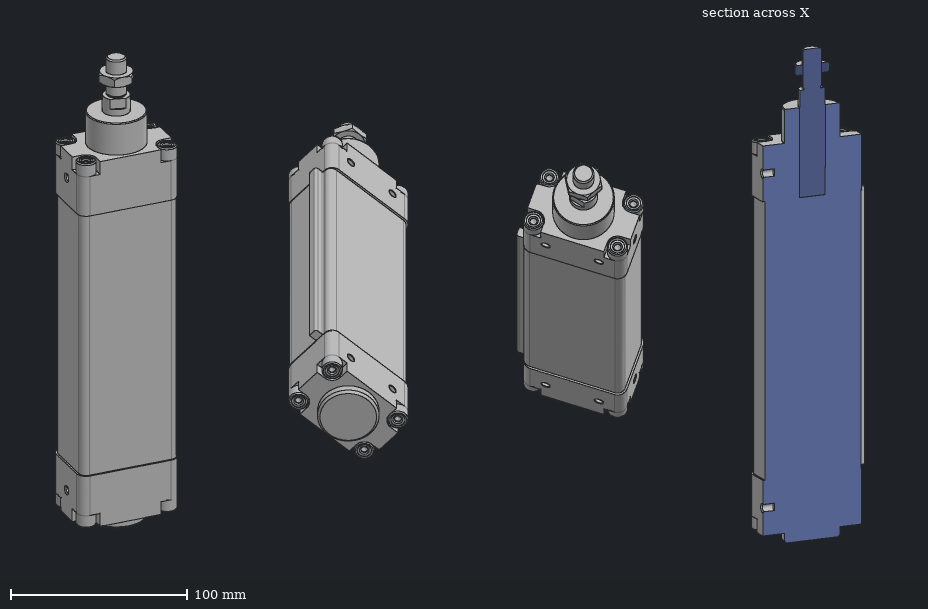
import cadquery as cq
import math

TOTAL_LENGTH = 289.5
REAR_BOSS_HEIGHT = 5.8
CAP_HEIGHT = 33.0
BARREL_LENGTH = 164.0
NECK_HEIGHT = 20.0

REAR_CAP_Z = REAR_BOSS_HEIGHT
BARREL_Z = REAR_CAP_Z + CAP_HEIGHT
FRONT_CAP_Z = BARREL_Z + BARREL_LENGTH
NECK_Z = FRONT_CAP_Z + CAP_HEIGHT
NECK_TOP_Z = NECK_Z + NECK_HEIGHT

CAP_WIDTH = 40.0
CAP_DEPTH = 62.0
CAP_CORNER_RADIUS = 5.8
SCREW_X = CAP_WIDTH / 2 - CAP_CORNER_RADIUS
SCREW_Y = CAP_DEPTH / 2 - CAP_CORNER_RADIUS
CORNERS = [(sx, sy) for sx in (-1, 1) for sy in (-1, 1)]

POCKET_HEIGHT = 8.0
POCKET_CLEARANCE = 0.43
POCKET_RADIUS = CAP_CORNER_RADIUS + POCKET_CLEARANCE

SCREW_HEAD_DIAMETER = 2 * CAP_CORNER_RADIUS
SCREW_HEAD_HEIGHT = 7.8
SCREW_HEAD_CHAMFER = 0.72
RECESS_DIAMETER = 8.0
RECESS_DEPTH = 0.5
SCREW_HOLE_DIAMETER = 4.0
SCREW_HOLE_DEPTH = 1.5

PORT_DIAMETER = 4.0
MOUNTING_HOLE_DIAMETER = 5.0
HOLE_DEPTH = 7.2
MOUNTING_HOLE_Y = 16.0

HOLE_MOUTH_DIAMETER = 5.5
DRILL_POINT_ANGLE = 118.0

BARREL_WIDTH = 37.5
BARREL_FRONT_Y = -29.8
BARREL_BACK_Y = 30.7
BARREL_DEPTH = BARREL_BACK_Y - BARREL_FRONT_Y
BARREL_CORNER_RADIUS = 4.5

RAIL_WIDTH = 5.5
RAIL_CENTER_X = -9.8
RAIL_TOP_Y = 36.2
RAIL_CORNER_RADIUS = 1.7
RAIL_ROOT_RADIUS = 1.0

BOSS_DIAMETER = 35.0
NECK_CHAMFER = 0.5
REAR_BOSS_CHAMFER = 1.5

ROD_DIAMETER = 16.0
THREAD_DIAMETER = 12.0
THREAD_CHAMFER = 1.0
SHOULDER_Z = 265.8
RELIEF_DIAMETER = 10.7
RELIEF_HEIGHT = 1.0
FLAT_HEIGHT = 6.0
FLAT_WIDTH = 13.0
FLAT_ANGLE = -15.0

NUT_WIDTH = 19.0
NUT_HEIGHT = 6.0
NUT_Z = 274.5
NUT_CORNER_DIAMETER = NUT_WIDTH / math.cos(math.pi / 6)
NUT_BEVEL_WIDTH = (NUT_CORNER_DIAMETER - NUT_WIDTH) / 2
NUT_BEVEL_HEIGHT = NUT_BEVEL_WIDTH * math.tan(math.pi / 6)


def cylinder(diameter, height, z):
    """Upright cylinder on the part axis, with its lower face at z."""
    return cq.Workplane("XY").workplane(offset=z).circle(diameter / 2).extrude(height)


def rounded_block(width, depth, height, radius, z):
    """Upright block centred on the part axis, with its four long edges rounded."""
    return (
        cq.Workplane("XY")
        .workplane(offset=z)
        .rect(width, depth)
        .extrude(height)
        .edges("|Z")
        .fillet(radius)
    )


def bore_cutter(diameter, depth, point, direction):
    """Cutter for a flat-bottomed round hole."""
    bore = cq.Solid.makeCylinder(diameter / 2, depth, cq.Vector(*point), cq.Vector(*direction))
    return cq.Workplane(bore)


def drilled_hole(diameter, depth, point, direction):
    """Cutter for a hole of full diameter down to the depth, ending in a drill point."""
    inward = cq.Vector(*direction)
    radius = diameter / 2
    tip_length = radius / math.tan(math.radians(DRILL_POINT_ANGLE / 2))
    tip = cq.Solid.makeCone(radius, 0, tip_length, cq.Vector(*point) + inward * depth, inward)
    return bore_cutter(diameter, depth, point, direction).union(cq.Workplane(tip))


def hole_mouth(diameter, point, direction):
    """Cutter for the 45 degree bevel at the mouth of a hole of the given diameter."""
    depth = (HOLE_MOUTH_DIAMETER - diameter) / 2
    cone = cq.Solid.makeCone(
        HOLE_MOUTH_DIAMETER / 2, diameter / 2, depth, cq.Vector(*point), cq.Vector(*direction)
    )
    return cq.Workplane(cone)


def corner_pocket(sx, sy):
    """Cutter standing on z = 0, round towards the cap centre and open at the two outer sides."""
    reach = 2 * POCKET_RADIUS
    round_part = cq.Workplane("XY").circle(POCKET_RADIUS).extrude(POCKET_HEIGHT)
    along_x = cq.Workplane("XY").center(sx * POCKET_RADIUS, 0).rect(reach, reach).extrude(POCKET_HEIGHT)
    along_y = cq.Workplane("XY").center(0, sy * POCKET_RADIUS).rect(reach, reach).extrude(POCKET_HEIGHT)
    pocket = round_part.union(along_x).union(along_y)
    return pocket.translate((sx * SCREW_X, sy * SCREW_Y, 0))


def screw_head():
    """Cylindrical screw head on z = 0, with a recess and a countersunk drilled hole in its top."""
    head = cylinder(SCREW_HEAD_DIAMETER, SCREW_HEAD_HEIGHT, 0).faces(">Z").chamfer(SCREW_HEAD_CHAMFER)
    recess_z = SCREW_HEAD_HEIGHT - RECESS_DEPTH
    head = head.cut(cylinder(RECESS_DIAMETER, RECESS_DEPTH, recess_z))
    mouth = (0, 0, recess_z)
    downward = (0, 0, -1)
    head = head.cut(drilled_hole(SCREW_HOLE_DIAMETER, SCREW_HOLE_DEPTH, mouth, downward))
    return head.cut(hole_mouth(SCREW_HOLE_DIAMETER, mouth, downward))


def cut_air_port(cap):
    """Flat-bottomed port in the middle of the -Y side of a cap."""
    mouth = (0, -CAP_DEPTH / 2, CAP_HEIGHT / 2)
    inward = (0, 1, 0)
    cap = cap.cut(bore_cutter(PORT_DIAMETER, HOLE_DEPTH, mouth, inward))
    return cap.cut(hole_mouth(PORT_DIAMETER, mouth, inward))


def cut_mounting_holes(cap):
    """Two drilled mounting holes in the -X side of a cap."""
    inward = (1, 0, 0)
    for y in (-MOUNTING_HOLE_Y, MOUNTING_HOLE_Y):
        mouth = (-CAP_WIDTH / 2, y, CAP_HEIGHT / 2)
        cap = cap.cut(drilled_hole(MOUNTING_HOLE_DIAMETER, HOLE_DEPTH, mouth, inward))
        cap = cap.cut(hole_mouth(MOUNTING_HOLE_DIAMETER, mouth, inward))
    return cap


def end_cap():
    """Cap standing on z = 0 with its screws at the upper end."""
    floor_z = CAP_HEIGHT - POCKET_HEIGHT
    lower_part = rounded_block(CAP_WIDTH, CAP_DEPTH, floor_z, CAP_CORNER_RADIUS, 0)
    upper_part = cq.Workplane("XY").rect(CAP_WIDTH, CAP_DEPTH).extrude(POCKET_HEIGHT)
    for sx, sy in CORNERS:
        upper_part = upper_part.cut(corner_pocket(sx, sy))
    cap = lower_part.union(upper_part.translate((0, 0, floor_z)))
    for sx, sy in CORNERS:
        cap = cap.union(screw_head().translate((sx * SCREW_X, sy * SCREW_Y, floor_z)))
    return cut_mounting_holes(cut_air_port(cap))


def barrel_with_rail():
    """Rounded barrel between the caps, with the rail along its +Y side."""
    barrel = rounded_block(BARREL_WIDTH, BARREL_DEPTH, BARREL_LENGTH, BARREL_CORNER_RADIUS, BARREL_Z)
    barrel = barrel.translate((0, (BARREL_FRONT_Y + BARREL_BACK_Y) / 2, 0))
    rail = (
        cq.Workplane("XY")
        .workplane(offset=BARREL_Z)
        .center(RAIL_CENTER_X, RAIL_TOP_Y / 2)
        .rect(RAIL_WIDTH, RAIL_TOP_Y)
        .extrude(BARREL_LENGTH)
        .edges("|Z and <X and >Y")
        .fillet(RAIL_CORNER_RADIUS)
    )
    root_edges = cq.selectors.BoxSelector(
        (RAIL_CENTER_X - RAIL_WIDTH, BARREL_BACK_Y - RAIL_ROOT_RADIUS, BARREL_Z),
        (RAIL_CENTER_X + RAIL_WIDTH, BARREL_BACK_Y + RAIL_ROOT_RADIUS, FRONT_CAP_Z),
    )
    return barrel.union(rail).edges("|Z").edges(root_edges).fillet(RAIL_ROOT_RADIUS)


def make_housing():
    """Barrel, both caps, the neck and the rear boss, bored for the rod."""
    front_cap = end_cap().translate((0, 0, FRONT_CAP_Z))
    rear_cap = end_cap().mirror("XY").translate((0, 0, BARREL_Z))
    neck = cylinder(BOSS_DIAMETER, NECK_HEIGHT, NECK_Z).faces(">Z").chamfer(NECK_CHAMFER)
    rear_boss = cylinder(BOSS_DIAMETER, REAR_BOSS_HEIGHT, 0).faces("<Z").chamfer(REAR_BOSS_CHAMFER)
    rod_bore = cylinder(ROD_DIAMETER, NECK_TOP_Z - FRONT_CAP_Z, FRONT_CAP_Z)
    housing = barrel_with_rail().union(front_cap).union(rear_cap).union(neck).union(rear_boss)
    return housing.cut(rod_bore)


def make_rod():
    """Piston rod with two wrench flats and a thinner threaded end."""
    shank = cylinder(ROD_DIAMETER, SHOULDER_Z - FRONT_CAP_Z, FRONT_CAP_Z)
    between_flats = (
        cq.Workplane("XY")
        .workplane(offset=SHOULDER_Z - FLAT_HEIGHT)
        .transformed(rotate=(0, 0, FLAT_ANGLE))
        .rect(FLAT_WIDTH, ROD_DIAMETER)
        .extrude(FLAT_HEIGHT)
    )
    flat_zone = cylinder(2 * ROD_DIAMETER, FLAT_HEIGHT, SHOULDER_Z - FLAT_HEIGHT)
    shank = shank.cut(flat_zone.cut(between_flats))
    relief = cylinder(RELIEF_DIAMETER, RELIEF_HEIGHT, SHOULDER_Z)
    thread_z = SHOULDER_Z + RELIEF_HEIGHT
    thread = cylinder(THREAD_DIAMETER, TOTAL_LENGTH - thread_z, thread_z)
    return shank.union(relief).union(thread.faces(">Z").chamfer(THREAD_CHAMFER))


def make_nut():
    """Hexagon nut with two corners along Y and its corners bevelled at both ends."""
    hexagon = (
        cq.Workplane("XY")
        .workplane(offset=NUT_Z)
        .transformed(rotate=(0, 0, 30))
        .polygon(6, NUT_CORNER_DIAMETER)
        .extrude(NUT_HEIGHT)
    )
    bevel = cylinder(NUT_CORNER_DIAMETER, NUT_HEIGHT, NUT_Z)
    for end in ("<Z", ">Z"):
        bevel = bevel.faces(end).chamfer(NUT_BEVEL_HEIGHT, NUT_BEVEL_WIDTH)
    return hexagon.intersect(bevel).cut(cylinder(THREAD_DIAMETER, NUT_HEIGHT, NUT_Z))


housing = make_housing()
rod = make_rod()
nut = make_nut()
result = cq.Compound.makeCompound([housing.val(), rod.val(), nut.val()])